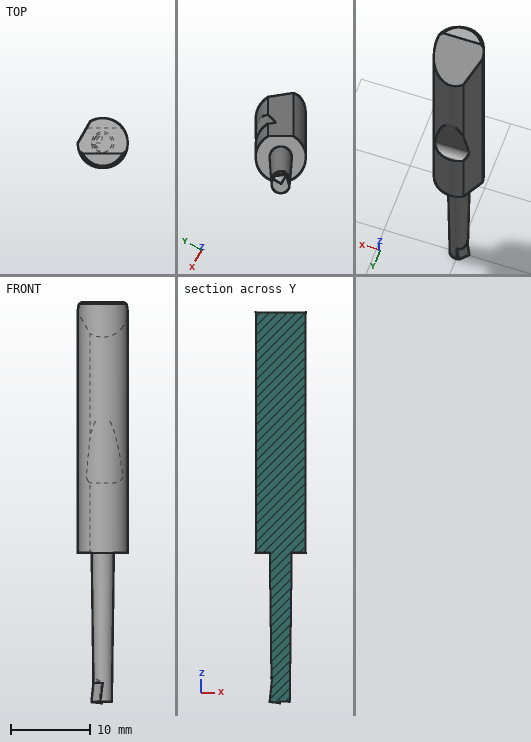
import cadquery as cq
import math

total_length = 50.8
shank_radius = 3.175
shank_bottom = 19.05
top_chamfer = 0.3
bevel_drop = 4.45
flat_angle = 150
flat_half_angle = 30
beyond = 10.15

notch_bottom = 27.9
notch_top = 36.5
notch_depth = 1.4
notch_radius = 1

neck_top_radius = 1.4
neck_end_radius = 1.15
neck_end = 0.2
neck_end_rounding = 0.1

rake_top = 2.6
core_x = -0.1
tooth_top = 3.3
edge_end_reach = 1.45
edge_top_reach = 1.1
edge_end_z = 0.15
tooth_depth = 1.15
flank_relief = 0.95
back_lift = 0.2
wedge_depth = 0.4
back_drop = 0.6


def make_shank():
    shank = (
        cq.Workplane("XY").workplane(offset=shank_bottom)
        .circle(shank_radius).extrude(total_length - shank_bottom)
        .faces(">Z").chamfer(top_chamfer)
    )
    flat_distance = shank_radius * math.cos(math.radians(flat_half_angle))
    flat_cutter = (
        cq.Workplane("XY").box(beyond, beyond, total_length, centered=(False, True, False))
        .translate((flat_distance, 0, 0))
        .rotate((0, 0, 0), (0, 0, 1), flat_angle)
    )
    bevel_cutter = (
        cq.Workplane("YZ")
        .moveTo(shank_radius - bevel_drop, total_length)
        .lineTo(shank_radius + beyond, total_length - bevel_drop - beyond)
        .lineTo(shank_radius + beyond, total_length)
        .close().extrude(beyond, both=True)
    )
    return shank.cut(flat_cutter).cut(bevel_cutter).cut(make_notch_cutter())


def make_notch_cutter():
    """Sloping notch with a square lower shoulder and a rounded bottom corner."""
    notch = (
        cq.Workplane("YZ")
        .moveTo(shank_radius, notch_top)
        .lineTo(shank_radius - notch_depth, notch_bottom)
        .lineTo(shank_radius + beyond, notch_bottom)
        .lineTo(shank_radius + beyond, notch_top)
        .close().extrude(beyond, both=True)
    )
    return notch.edges("|X and <Y").fillet(notch_radius)


def make_neck():
    neck = (
        cq.Workplane("XY").workplane(offset=neck_end).circle(neck_end_radius)
        .workplane(offset=shank_bottom - neck_end).circle(neck_top_radius)
        .loft()
        .faces("<Z").edges().fillet(neck_end_rounding)
    )
    rake_clearance = (
        cq.Workplane("XY").box(beyond, beyond, rake_top, centered=False)
        .translate((-beyond, -beyond, 0))
        .cut(make_rake_backing(beyond))
    )
    back_slope = back_drop / tooth_depth
    flank_clearance = (
        cq.Workplane("YZ").workplane(offset=core_x)
        .lineTo(0, tooth_top)
        .lineTo(shank_radius, tooth_top - back_slope * shank_radius)
        .lineTo(shank_radius, 0)
        .close().extrude(-beyond)
    )
    return neck.cut(rake_clearance).cut(flank_clearance)


def head_outline(inset=0, lift=0, drop=0, right=core_x):
    """Tooth section in XZ, its edge moved toward +X by the inset."""
    return [
        (right, lift),
        (inset - edge_end_reach, edge_end_z + lift),
        (inset - edge_top_reach, tooth_top - drop),
        (right, tooth_top - drop),
    ]


def loft_outlines(start, end, depth):
    """Straight-sided solid from the outline at Y = 0 to the one at Y = depth."""
    return (
        cq.Workplane("XZ").polyline(start).close()
        .workplane(offset=-depth).polyline(end).close()
        .loft(ruled=True)
    )


def make_rake_backing(right):
    """Material behind the rake face, which runs at 45 degrees to the cutting edge plane."""
    depth = neck_top_radius
    return loft_outlines(head_outline(right=right), head_outline(inset=depth, right=right), -depth)


def make_tooth():
    """Relieved tooth behind the cutting edge, with a wedge joining it to the rake face."""
    back = loft_outlines(head_outline(), head_outline(flank_relief, back_lift, back_drop), tooth_depth)
    corner = (
        cq.Workplane("XY").workplane(offset=neck_end)
        .box(beyond, wedge_depth, rake_top - neck_end, centered=False)
        .translate((core_x - beyond, -wedge_depth, 0))
    )
    front = make_rake_backing(beyond).intersect(corner)
    return back.union(front)


result = make_shank().union(make_neck()).union(make_tooth())